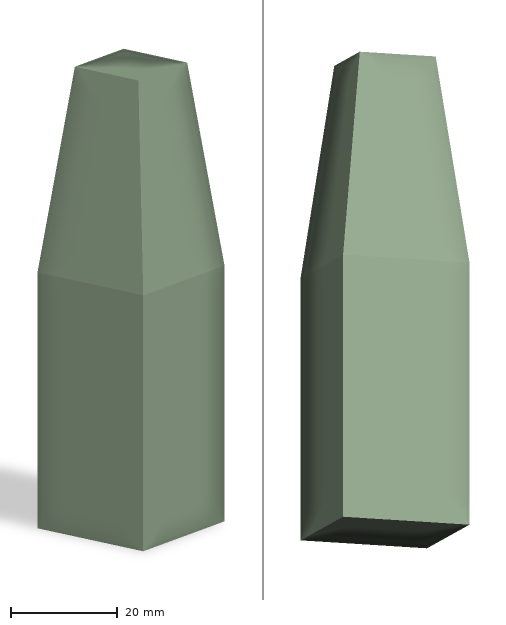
import cadquery as cq

total_height = 90.0
base_width = 25.0
tip_width = 15.0
taper_height = 40.0
base_height = total_height - taper_height

base = cq.Workplane("XY").rect(base_width, base_width).extrude(base_height)

taper = (
    cq.Workplane("XY")
    .workplane(offset=base_height)
    .rect(base_width, base_width)
    .workplane(offset=taper_height)
    .rect(tip_width, tip_width)
    .loft(ruled=True)
)

result = base.union(taper)